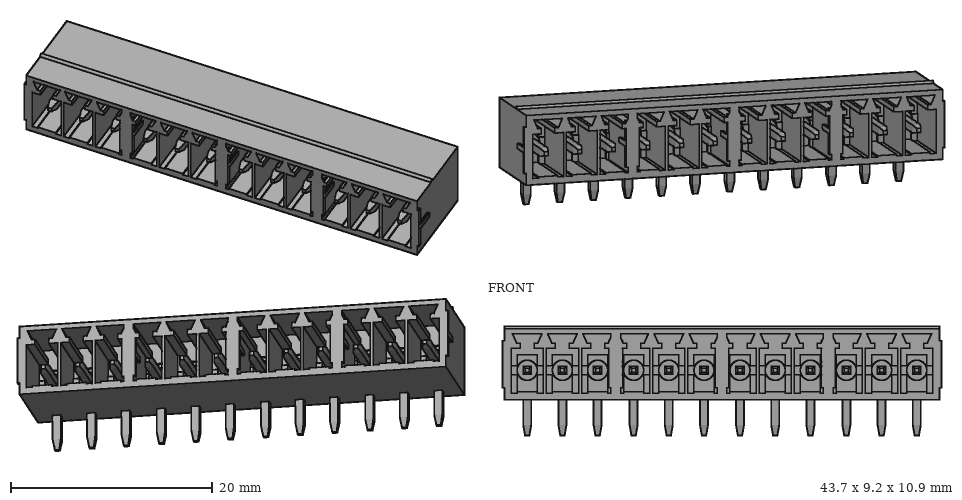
import cadquery as cq


MODULE_COUNT = 4
PINS_PER_MODULE = 3
PIN_PITCH = 3.5
OVERALL_LENGTH = 43.7
KEY_HEIGHT = 0.2
MODULE_PITCH = 10.58
ROW_LENGTH = OVERALL_LENGTH - 2 * KEY_HEIGHT
MODULE_LENGTH = ROW_LENGTH - (MODULE_COUNT - 1) * MODULE_PITCH

HOUSING_DEPTH = 9.2
HOUSING_HEIGHT = 7.1
RIDGE_Y = 3.35
RIDGE_WIDTH = 0.4
RIDGE_HEIGHT = 0.25
RIDGE_FLANK_HEIGHT = 0.08

KEY_BAR_DEPTH = 0.4
KEY_BAR_HEIGHT = 4.7
KEY_ARM_LENGTH = 2.5
KEY_ARM_HEIGHT = 0.54
KEY_Z = HOUSING_HEIGHT / 2

SOCKET_DEPTH = 6.5
SOCKET_HALF = 1.6
SOCKET_FLOOR_Z = 0.66
PAD_HALF = 1.0
PAD_Z = 0.79
NECK_HALF = 0.7
NECK_BOTTOM_Z = 5.13
NECK_TOP_Z = 5.66
DOVETAIL_BOTTOM_HALF = 1.05
DOVETAIL_TOP_HALF = 1.47
DOVETAIL_TOP_Z = 6.58

RECESS_TOP_Z = 4.47
RECESS_DEPTH = 0.3
BOSS_DIAMETER = 2.0
BOSS_HEIGHT = 0.3
BAR_PROJECTION = 0.15
BAR_HEIGHT = 0.92

PIN_SIZE = 0.82
PIN_Z = 2.95
PIN_FRONT_Y = 0.7
PIN_FRONT_TAPER = 0.8
PIN_FRONT_TIP = 0.4
PIN_POST_Y = 7.63
TAIL_LENGTH = 3.55
TAIL_TAPER = 1.05
TAIL_TIP = 0.45


def box(x_range, y_range, z_range):
    """Box between the given limits on each axis."""
    (x0, x1), (y0, y1), (z0, z1) = x_range, y_range, z_range
    return cq.Workplane("XY").box(x1 - x0, y1 - y0, z1 - z0, centered=False).translate((x0, y0, z0))


def socket_plane(y):
    """Plane facing +Y at depth y, with local x along -X and local y along Z."""
    return cq.Workplane(cq.Plane(origin=(0, y, 0), xDir=(-1, 0, 0), normal=(0, 1, 0)))


def make_housing():
    """Plain block with a round-crowned ridge along its top."""
    half = MODULE_LENGTH / 2
    block = box((-half, half), (0, HOUSING_DEPTH), (0, HOUSING_HEIGHT))
    front_y = RIDGE_Y - RIDGE_WIDTH / 2
    back_y = RIDGE_Y + RIDGE_WIDTH / 2
    crown_start_z = HOUSING_HEIGHT + RIDGE_FLANK_HEIGHT
    ridge = (
        cq.Workplane("YZ", origin=(-half, 0, 0))
        .moveTo(front_y, HOUSING_HEIGHT)
        .lineTo(front_y, crown_start_z)
        .threePointArc((RIDGE_Y, HOUSING_HEIGHT + RIDGE_HEIGHT), (back_y, crown_start_z))
        .lineTo(back_y, HOUSING_HEIGHT)
        .close()
        .extrude(MODULE_LENGTH)
    )
    return block.union(ridge)


def make_socket():
    """Cavity for one contact: keyed opening, back recess, and the boss and bar left standing."""
    right_side = [
        (PAD_HALF, PAD_Z),
        (PAD_HALF, SOCKET_FLOOR_Z),
        (SOCKET_HALF, SOCKET_FLOOR_Z),
        (SOCKET_HALF, NECK_BOTTOM_Z),
        (NECK_HALF, NECK_BOTTOM_Z),
        (NECK_HALF, NECK_TOP_Z),
        (DOVETAIL_BOTTOM_HALF, NECK_TOP_Z),
        (DOVETAIL_TOP_HALF, DOVETAIL_TOP_Z),
    ]
    left_side = [(-x, z) for x, z in reversed(right_side)]
    opening = socket_plane(0).polyline(right_side + left_side).close().extrude(SOCKET_DEPTH)

    recess_end = SOCKET_DEPTH + RECESS_DEPTH
    recess = box((-PAD_HALF, PAD_HALF), (SOCKET_DEPTH, recess_end), (PAD_Z, RECESS_TOP_Z))

    boss_front = SOCKET_DEPTH - BOSS_HEIGHT
    boss_length = recess_end - boss_front
    boss = socket_plane(boss_front).center(0, PIN_Z).circle(BOSS_DIAMETER / 2).extrude(boss_length)
    bar = box(
        (-SOCKET_HALF, SOCKET_HALF),
        (SOCKET_DEPTH - BAR_PROJECTION, recess_end),
        (PIN_Z - BAR_HEIGHT / 2, PIN_Z + BAR_HEIGHT / 2),
    )
    return opening.union(recess).cut(boss).cut(bar)


def make_pin():
    """L-shaped square pin with a tapered contact tip and a tapered solder tail."""
    half = PIN_SIZE / 2
    shank_start = PIN_FRONT_Y + PIN_FRONT_TAPER
    shank = box((-half, half), (shank_start, PIN_POST_Y + half), (PIN_Z - half, PIN_Z + half))
    tip = (
        socket_plane(PIN_FRONT_Y)
        .center(0, PIN_Z)
        .rect(PIN_FRONT_TIP, PIN_FRONT_TIP)
        .workplane(offset=PIN_FRONT_TAPER)
        .rect(PIN_SIZE, PIN_SIZE)
        .loft()
    )
    post_bottom = TAIL_TAPER - TAIL_LENGTH
    post = box((-half, half), (PIN_POST_Y - half, PIN_POST_Y + half), (post_bottom, PIN_Z))
    tail = (
        cq.Workplane("XY", origin=(0, PIN_POST_Y, -TAIL_LENGTH))
        .rect(TAIL_TIP, TAIL_TIP)
        .workplane(offset=TAIL_TAPER)
        .rect(PIN_SIZE, PIN_SIZE)
        .loft()
    )
    return shank.union(tip).union(post).union(tail)


def make_end_key(x_start):
    """T-shaped key of thickness KEY_HEIGHT starting at x_start."""
    x_range = (x_start, x_start + KEY_HEIGHT)
    arm_half = KEY_ARM_HEIGHT / 2
    bar = box(x_range, (0, KEY_BAR_DEPTH), (KEY_Z - KEY_BAR_HEIGHT / 2, KEY_Z + KEY_BAR_HEIGHT / 2))
    arm = (
        cq.Workplane("YZ", origin=(x_start, 0, 0))
        .moveTo(0, KEY_Z - arm_half)
        .lineTo(KEY_ARM_LENGTH - arm_half, KEY_Z - arm_half)
        .threePointArc((KEY_ARM_LENGTH, KEY_Z), (KEY_ARM_LENGTH - arm_half, KEY_Z + arm_half))
        .lineTo(0, KEY_Z + arm_half)
        .close()
        .extrude(KEY_HEIGHT)
    )
    return bar.union(arm)


def make_module():
    """One three-way module, centred on X = 0."""
    module = make_housing()
    socket = make_socket()
    pin = make_pin()
    for index in range(PINS_PER_MODULE):
        x = (index - (PINS_PER_MODULE - 1) / 2) * PIN_PITCH
        module = module.cut(socket.translate((x, 0, 0))).union(pin.translate((x, 0, 0)))
    half = MODULE_LENGTH / 2
    return module.union(make_end_key(half)).union(make_end_key(-half - KEY_HEIGHT))


def make_header():
    """Row of modules; the seam edges between overlapping housings are kept."""
    module = make_module()
    row_start = -(MODULE_COUNT - 1) / 2 * MODULE_PITCH
    header = module.translate((row_start, 0, 0))
    for index in range(1, MODULE_COUNT):
        header = header.union(module.translate((row_start + index * MODULE_PITCH, 0, 0)), clean=False)
    return header


result = make_header()